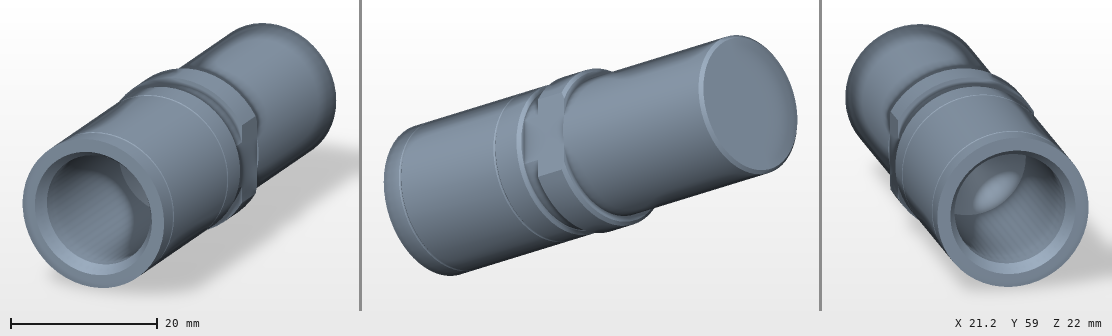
import cadquery as cq
import math

length = 59.0
mouth_y = -length / 2
shank_end_y = length / 2

shank_diameter = 19.45
collar_diameter = 22.0
neck_diameter = 20.0
sleeve_diameter = 21.2

shank_length = 26.0
collar_length = 4.95
neck_length = 2.55
edge_chamfer = 0.5
collar_back_y = shank_end_y - shank_length
collar_front_y = collar_back_y - collar_length
sleeve_back_y = collar_front_y - neck_length

across_flats = 19.0

groove_width = 0.4
groove_depth = 0.2
groove_distances = (3.05, 20.9)

bore_diameter = 15.5
mouth_diameter = 17.5
mouth_taper_depth = 1.75
bore_depth = 25.35
drill_point_angle = 118.0


def cylinder(diameter, start_y, end_y):
    """Solid cylinder on the Y axis from start_y to a larger end_y."""
    plane = cq.Workplane("XZ", origin=(0, end_y, 0))
    return plane.circle(diameter / 2).extrude(end_y - start_y)


def wrench_section():
    """Collar and neck, cut down to two flats facing -X and +X."""
    collar = cylinder(collar_diameter, collar_front_y, collar_back_y)
    collar = collar.faces(">Y").chamfer(edge_chamfer)
    neck = cylinder(neck_diameter, sleeve_back_y, collar_front_y)
    slab_length = collar_length + neck_length
    slab = cq.Workplane("XY").box(across_flats, slab_length, collar_diameter)
    slab = slab.translate((0, (sleeve_back_y + collar_back_y) / 2, 0))
    return collar.union(neck).intersect(slab)


def groove_cutter(center_y):
    """V-shaped ring that cuts one groove around the sleeve."""
    sleeve_radius = sleeve_diameter / 2
    profile = (
        cq.Workplane("XY")
        .moveTo(sleeve_radius, center_y - groove_width / 2)
        .lineTo(sleeve_radius - groove_depth, center_y)
        .lineTo(sleeve_radius, center_y + groove_width / 2)
        .close()
    )
    return profile.revolve(360, (0, 0, 0), (0, 1, 0))


def grooved_sleeve():
    sleeve = cylinder(sleeve_diameter, mouth_y, sleeve_back_y)
    sleeve = sleeve.faces(">Y").chamfer(edge_chamfer)
    for distance in groove_distances:
        sleeve = sleeve.cut(groove_cutter(mouth_y + distance))
    return sleeve


def bore():
    """Half profile of the bore turned around the Y axis."""
    bore_radius = bore_diameter / 2
    point_depth = bore_radius / math.tan(math.radians(drill_point_angle / 2))
    bore_end_y = mouth_y + bore_depth
    profile = (
        cq.Workplane("XY")
        .moveTo(0, mouth_y)
        .lineTo(mouth_diameter / 2, mouth_y)
        .lineTo(bore_radius, mouth_y + mouth_taper_depth)
        .lineTo(bore_radius, bore_end_y)
        .lineTo(0, bore_end_y + point_depth)
        .close()
    )
    return profile.revolve(360, (0, 0, 0), (0, 1, 0))


shank = cylinder(shank_diameter, collar_back_y, shank_end_y)
shank = shank.faces(">Y").chamfer(edge_chamfer)

result = shank.union(wrench_section()).union(grooved_sleeve()).cut(bore())